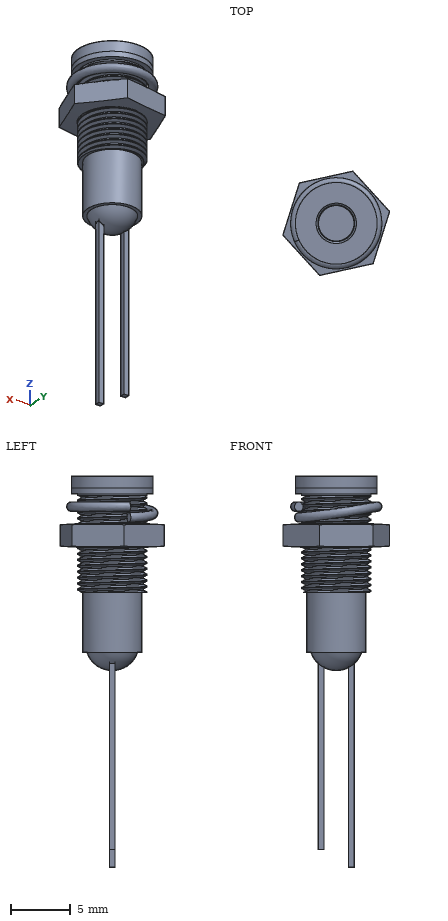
import cadquery as cq
import math


head_diameter = 6.9
flange_height = 1.0
neck_height = 0.15
thread_bottom = -8.3
barrel_diameter = 5.0
barrel_bottom = -13.35
countersink_diameter = 3.4

thread_diameter = 5.9
root_diameter = 5.3
thread_pitch = 0.5
tooth_base = 0.44
tooth_crest = 0.06
tooth_embed = 0.05
first_crest_z = -8.18
spare_turns = 1

gasket_height = 0.5

led_diameter = 3.0
led_bore_diameter = 3.1
led_length = 5.0
lead_size = 0.5
lead_spacing = 2.54
short_lead_end = -30.0
long_lead_end = -31.5

potting_diameter = 4.3
dome_height = 1.55

nut_flats = 8.0
nut_corners = nut_flats / math.cos(math.pi / 6)
nut_turn = 12.4
nut_top = -2.5
nut_height = 2.0
nut_corner_drop = 0.1
nut_clearance = 0.02
nut_bore_diameter = thread_diameter + nut_clearance

wire_diameter = 0.8
coil_radius = 3.45
coil_split_angle = 204.0
coil_flat_z = -1.07
coil_drop = 0.9
coil_samples = 60

head_top = gasket_height + flange_height
led_bottom = head_top - led_length
lead_ends = {-lead_spacing / 2: short_lead_end, lead_spacing / 2: long_lead_end}


def cylinder(diameter, bottom, top):
    return cq.Workplane("XY").workplane(offset=bottom).circle(diameter / 2).extrude(top - bottom)


def cone(bottom_diameter, bottom, top_diameter, top):
    base = cq.Vector(0, 0, bottom)
    return cq.Workplane(cq.Solid.makeCone(bottom_diameter / 2, top_diameter / 2, top - bottom, base))


def make_thread():
    """Right-hand helical ridge, trimmed flat at both ends of the threaded length."""
    top = -neck_height
    start_z = first_crest_z - spare_turns * thread_pitch
    length = top - start_z + spare_turns * thread_pitch
    inner_radius = root_diameter / 2 - tooth_embed
    helix = cq.Wire.makeHelix(thread_pitch, length, inner_radius).translate(cq.Vector(0, 0, start_z))
    half_base = tooth_base / 2
    half_crest = tooth_crest / 2
    tooth = [
        (inner_radius, start_z - half_base),
        (thread_diameter / 2, start_z - half_crest),
        (thread_diameter / 2, start_z + half_crest),
        (inner_radius, start_z + half_base),
    ]
    ridge = cq.Workplane("XZ").polyline(tooth).close().sweep(cq.Workplane(helix), isFrenet=True)
    return ridge.intersect(cylinder(head_diameter, thread_bottom, top))


def make_housing():
    body = cylinder(head_diameter, gasket_height, head_top)
    body = body.union(cylinder(thread_diameter, -neck_height, gasket_height))
    body = body.union(cylinder(root_diameter, thread_bottom, -neck_height))
    body = body.union(cylinder(barrel_diameter, barrel_bottom, thread_bottom))
    body = body.union(make_thread())
    body = body.cut(cylinder(led_bore_diameter, led_bottom, head_top))
    body = body.cut(cylinder(potting_diameter, barrel_bottom, led_bottom))
    countersink_depth = (countersink_diameter - led_bore_diameter) / 2
    countersink = cone(led_bore_diameter, head_top - countersink_depth, countersink_diameter, head_top)
    return body.cut(countersink)


def make_gasket():
    return cylinder(head_diameter, 0, gasket_height).cut(cylinder(thread_diameter, 0, gasket_height))


def make_lead(x, end):
    return (
        cq.Workplane("XY")
        .workplane(offset=end)
        .center(x, 0)
        .rect(lead_size, lead_size)
        .extrude(led_bottom - end)
    )


def make_led():
    led = cylinder(led_diameter, led_bottom, head_top)
    for x, end in lead_ends.items():
        led = led.union(make_lead(x, end))
    return led


def make_potting():
    """Resin plug with a spherical dome below the barrel, pierced by the leads."""
    radius = potting_diameter / 2
    dome_radius = (radius**2 + dome_height**2) / (2 * dome_height)
    dome_bottom = barrel_bottom - dome_height
    half_angle = math.asin(radius / dome_radius) / 2
    arc_middle = (
        dome_radius * math.sin(half_angle),
        dome_bottom + dome_radius * (1 - math.cos(half_angle)),
    )
    potting = (
        cq.Workplane("XZ")
        .moveTo(0, led_bottom)
        .lineTo(radius, led_bottom)
        .lineTo(radius, barrel_bottom)
        .threePointArc(arc_middle, (0, dome_bottom))
        .close()
        .revolve(360, (0, 0), (0, 1))
    )
    for x, end in lead_ends.items():
        potting = potting.cut(make_lead(x, end))
    return potting


def make_nut():
    """Hexagon whose end faces slope away very slightly from the bore towards the corners."""
    bottom = nut_top - nut_height
    slope_bottom = bottom + nut_corner_drop
    slope_top = nut_top - nut_corner_drop
    nut = (
        cq.Workplane("XY")
        .workplane(offset=bottom)
        .polygon(6, nut_corners)
        .extrude(nut_height)
        .rotate((0, 0, 0), (0, 0, 1), nut_turn)
    )
    envelope = cone(nut_bore_diameter, bottom, nut_corners, slope_bottom)
    envelope = envelope.union(cylinder(nut_corners, slope_bottom, slope_top))
    envelope = envelope.union(cone(nut_corners, slope_top, nut_bore_diameter, nut_top))
    nut = nut.intersect(envelope)
    return nut.cut(cylinder(nut_bore_diameter, bottom, nut_top))


def coil_point(t):
    """Centre of the wire: it climbs in an S-curve up to the +X side, then runs level."""
    angle = coil_split_angle + 360 * t
    climb = min((angle - coil_split_angle) / (360 - coil_split_angle), 1)
    z = coil_flat_z - coil_drop * (1 + math.cos(math.pi * climb)) / 2
    turn = math.radians(angle)
    return (coil_radius * math.cos(turn), coil_radius * math.sin(turn), z)


def make_spring_washer():
    path = cq.Workplane("XY").parametricCurve(coil_point, N=coil_samples, makeWire=True)
    split = math.radians(coil_split_angle)
    end_plane = cq.Plane(
        origin=coil_point(0),
        xDir=(math.cos(split), math.sin(split), 0),
        normal=(-math.sin(split), math.cos(split), 0),
    )
    return cq.Workplane(end_plane).circle(wire_diameter / 2).sweep(path)


housing = make_housing()
gasket = make_gasket()
led = make_led()
potting = make_potting()
nut = make_nut()
spring_washer = make_spring_washer()

bodies = [housing, gasket, led, potting, nut, spring_washer]
result = cq.Compound.makeCompound([body.solids().val() for body in bodies])